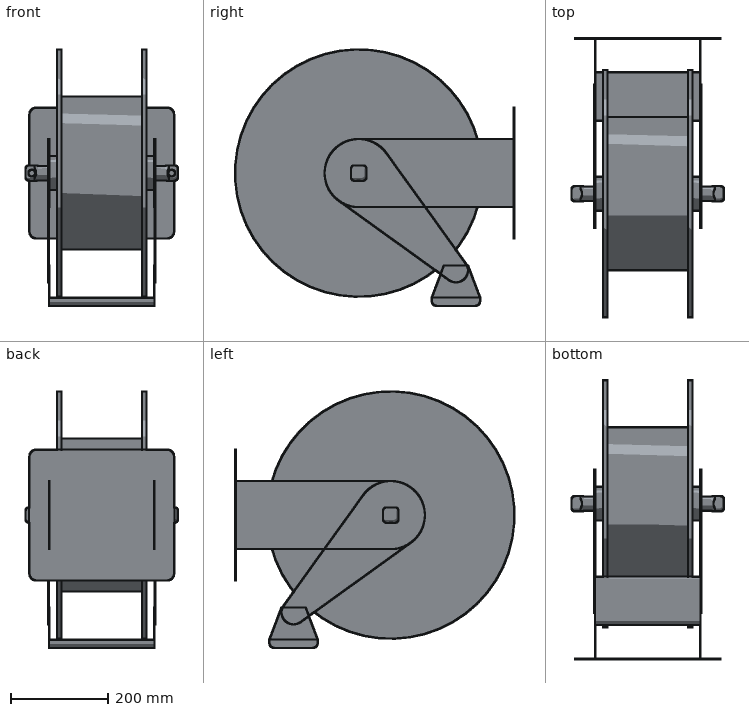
import cadquery as cq
import math


flange_diameter = 510.0
flange_thickness = 10.0
drum_diameter = 316.0
drum_width = 166.0
hub_diameter = 70.0

sheet = 1.5
wall_arm_inner_x = 107.5
swing_arm_inner_x = wall_arm_inner_x + sheet
swing_arm_outer_x = swing_arm_inner_x + sheet
arm_end_radius = 70.0
swing_arm_tip_radius = 25.0
pivot_y = 200.0
pivot_z = -200.0

total_depth = 575.5
wall_plate_width = 298.5
wall_plate_height = 270.0
wall_plate_corner = 15.0
wall_plate_back_y = total_depth - flange_diameter / 2
wall_plate_front_y = wall_plate_back_y - sheet

total_height = 529.0
guide_width = 100.0
guide_top_width = 50.0
guide_top_z = -190.5
guide_bar_height = 17.0
guide_corner = 11.0
guide_bottom_z = flange_diameter / 2 - total_height

total_width = 315.0
axle_diameter = 30.0
block_length = 27.0
block_side = 32.0
block_round = 8.0
block_blend_radius = 10.0
block_hole_diameter = 14.0
block_hole_depth = 8.0
block_hole_from_end = 13.0
axle_end_x = total_width / 2


def cylinder_along_x(diameter, x_start, x_end):
    """Cylinder centred on the spool axle."""
    return cq.Workplane("YZ", origin=(x_start, 0, 0)).circle(diameter / 2).extrude(x_end - x_start)


def make_spool():
    """Drum between two flanges, with a hub reaching out to the arms on each side."""
    drum_half = drum_width / 2
    flange_outer_x = drum_half + flange_thickness
    drum = cylinder_along_x(drum_diameter, -drum_half, drum_half)
    hubs = cylinder_along_x(hub_diameter, -wall_arm_inner_x, wall_arm_inner_x)
    right_flange = cylinder_along_x(flange_diameter, drum_half, flange_outer_x)
    left_flange = cylinder_along_x(flange_diameter, -flange_outer_x, -drum_half)
    return drum.union(hubs).union(right_flange).union(left_flange)


def make_wall_plate():
    """Upright plate with rounded corners."""
    return (
        cq.Workplane("XY")
        .box(wall_plate_width, sheet, wall_plate_height)
        .edges("|Y")
        .fillet(wall_plate_corner)
        .translate((0, wall_plate_back_y - sheet / 2, 0))
    )


def make_wall_arm():
    """Straight strip from the axle back to the wall plate."""
    return (
        cq.Workplane("XY")
        .box(sheet, wall_plate_front_y, 2 * arm_end_radius, centered=(False, False, True))
        .translate((wall_arm_inner_x, 0, 0))
    )


def make_arm_end():
    """Round end about the axle, shared by both arms and two sheets thick."""
    return cylinder_along_x(2 * arm_end_radius, wall_arm_inner_x, swing_arm_outer_x)


def make_swing_arm():
    """Tapered strip along the common tangents of the axle end and the round tip."""
    arm_length = math.hypot(pivot_y, pivot_z)
    arm_angle = math.atan2(pivot_z, pivot_y)
    tangent_angle = math.acos((arm_end_radius - swing_arm_tip_radius) / arm_length)

    def axle_end(angle):
        return (arm_end_radius * math.cos(angle), arm_end_radius * math.sin(angle))

    def tip_end(angle):
        return (
            pivot_y + swing_arm_tip_radius * math.cos(angle),
            pivot_z + swing_arm_tip_radius * math.sin(angle),
        )

    upper = arm_angle + tangent_angle
    lower = arm_angle - tangent_angle
    return (
        cq.Workplane("YZ", origin=(swing_arm_inner_x, 0, 0))
        .moveTo(*axle_end(upper))
        .lineTo(*axle_end(lower))
        .lineTo(*tip_end(lower))
        .threePointArc(tip_end(arm_angle), tip_end(upper))
        .close()
        .extrude(sheet)
    )


def make_guide():
    """U-shaped guide: a solid cross bar between two tapered side cheeks."""
    bar_top_z = guide_bottom_z + guide_bar_height
    half_width = guide_width / 2
    half_top = guide_top_width / 2
    outline = [
        (pivot_y - half_width, guide_bottom_z),
        (pivot_y + half_width, guide_bottom_z),
        (pivot_y + half_width, bar_top_z),
        (pivot_y + half_top, guide_top_z),
        (pivot_y - half_top, guide_top_z),
        (pivot_y - half_width, bar_top_z),
    ]
    block = (
        cq.Workplane("YZ")
        .polyline(outline)
        .close()
        .extrude(swing_arm_inner_x, both=True)
        .edges("|X and <Z")
        .fillet(guide_corner)
    )
    opening_height = guide_top_z - bar_top_z
    opening = (
        cq.Workplane("XY", origin=(0, pivot_y, bar_top_z))
        .rect(2 * wall_arm_inner_x, guide_width)
        .extrude(opening_height)
    )
    return block.cut(opening)


def make_axle_end():
    """Axle stub and rounded block, with a blind hole in the block's front face."""
    block_inner_x = axle_end_x - block_length
    axle_radius = axle_diameter / 2
    flare_radius = axle_radius + block_blend_radius
    stub = cylinder_along_x(axle_diameter, wall_arm_inner_x, block_inner_x)
    block = (
        cq.Workplane("YZ", origin=(block_inner_x, 0, 0))
        .rect(block_side, block_side)
        .extrude(block_length)
        .edges("|X or >X")
        .fillet(block_round)
    )
    flare = (
        cq.Workplane("XY")
        .moveTo(block_inner_x, 0)
        .lineTo(block_inner_x, axle_radius)
        .radiusArc((block_inner_x + block_blend_radius, flare_radius), -block_blend_radius)
        .lineTo(axle_end_x, flare_radius)
        .lineTo(axle_end_x, 0)
        .close()
        .revolve(360, (0, 0, 0), (1, 0, 0))
    )
    hole = (
        cq.Workplane("XZ", origin=(axle_end_x - block_hole_from_end, -block_side / 2, 0))
        .circle(block_hole_diameter / 2)
        .extrude(-block_hole_depth)
    )
    return block.intersect(flare).union(stub).cut(hole)


side_parts = make_wall_arm().union(make_arm_end()).union(make_swing_arm()).union(make_axle_end())

result = (
    make_spool()
    .union(make_wall_plate())
    .union(make_guide())
    .union(side_parts)
    .union(side_parts.mirror("YZ"))
)